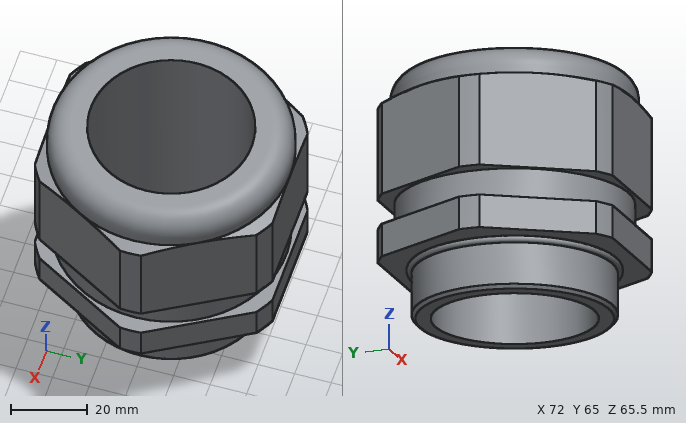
import cadquery as cq

ACROSS_FLATS = 65.0
ACROSS_CORNERS = 72.0
CORNER_TURN = 30

BORE_DIAMETER = 43.9
SPIGOT_DIAMETER = 54.0
COLLAR_DIAMETER = 56.6
NECK_DIAMETER = 63.0
DOME_DIAMETER = ACROSS_FLATS

COLLAR_BOTTOM = 12.3
LOWER_HEX_BOTTOM = 14.05
LOWER_HEX_TOP = 23.0
UPPER_HEX_BOTTOM = 31.2
UPPER_HEX_TOP = 57.2
TOTAL_HEIGHT = 65.5

SPIGOT_CHAMFER = 1.0
DOME_ROUNDING = 6.05
HEX_CORNER_DROP = 1.15


def cylinder(diameter, bottom, top):
    return cq.Workplane("XY").workplane(offset=bottom).circle(diameter / 2).extrude(top - bottom)


def trimmed_hexagon(bottom, top):
    """Hexagonal prism with corners along X, rounded to the corner circle."""
    prism = (
        cq.Workplane("XY")
        .workplane(offset=bottom)
        .polygon(6, ACROSS_FLATS, circumscribed=True)
        .extrude(top - bottom)
        .rotate((0, 0, 0), (0, 0, 1), CORNER_TURN)
    )
    return prism.intersect(cylinder(ACROSS_CORNERS, bottom, top))


def cone_topped_envelope():
    """Round body whose shallow conical top bevels the upper hexagon's corners."""
    return (
        cq.Workplane("XZ")
        .moveTo(0, UPPER_HEX_BOTTOM)
        .lineTo(ACROSS_CORNERS / 2, UPPER_HEX_BOTTOM)
        .lineTo(ACROSS_CORNERS / 2, UPPER_HEX_TOP - HEX_CORNER_DROP)
        .lineTo(DOME_DIAMETER / 2, UPPER_HEX_TOP)
        .lineTo(0, UPPER_HEX_TOP)
        .close()
        .revolve(360, (0, 0, 0), (0, 1, 0))
    )


def round_rimmed_collar():
    """Disc whose rim is a full half-round."""
    rim_radius = (LOWER_HEX_BOTTOM - COLLAR_BOTTOM) / 2
    rim_center = COLLAR_DIAMETER / 2 - rim_radius
    return (
        cq.Workplane("XZ")
        .moveTo(0, COLLAR_BOTTOM)
        .lineTo(rim_center, COLLAR_BOTTOM)
        .threePointArc(
            (COLLAR_DIAMETER / 2, COLLAR_BOTTOM + rim_radius),
            (rim_center, LOWER_HEX_BOTTOM),
        )
        .lineTo(0, LOWER_HEX_BOTTOM)
        .close()
        .revolve(360, (0, 0, 0), (0, 1, 0))
    )


spigot = cylinder(SPIGOT_DIAMETER, 0, LOWER_HEX_BOTTOM).faces("<Z").edges().chamfer(SPIGOT_CHAMFER)
collar = round_rimmed_collar()

lower_hex = trimmed_hexagon(LOWER_HEX_BOTTOM, LOWER_HEX_TOP)
neck = cylinder(NECK_DIAMETER, LOWER_HEX_TOP, UPPER_HEX_BOTTOM)

upper_hex = trimmed_hexagon(UPPER_HEX_BOTTOM, UPPER_HEX_TOP).intersect(cone_topped_envelope())
dome = cylinder(DOME_DIAMETER, UPPER_HEX_TOP, TOTAL_HEIGHT).faces(">Z").edges().fillet(DOME_ROUNDING)

body = spigot.union(collar).union(lower_hex).union(neck).union(upper_hex).union(dome)

result = body.cut(cylinder(BORE_DIAMETER, 0, TOTAL_HEIGHT))